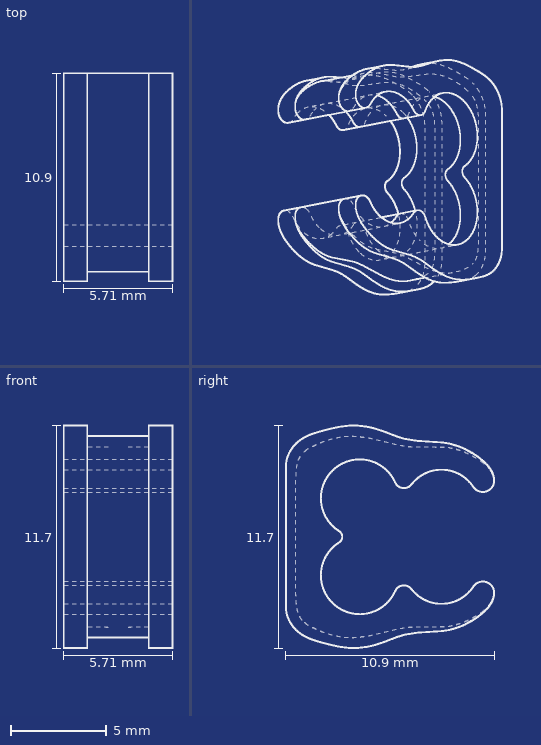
import cadquery as cq
import math


total_width = 5.71
flange_width = 1.25
core_width = total_width - 2 * flange_width

total_depth = 10.92
back_y = -total_depth / 2
front_y = total_depth / 2

inner_bore_radius = 2.03
inner_bore = (back_y + 3.87, 2.02)
outer_bore_radius = 1.98
outer_bore = (back_y + 8.15, 1.53)

tip_radius = 0.6
tip_z = 2.94
tip = (front_y - tip_radius, tip_z)
side_nub_radius = 0.5
back_nub_radius = 0.35

flange_back_inset = 0.0
flange_flat_half_height = 3.72
core_back_inset = 0.5
core_flat_half_height = 2.93

flange_top = [(0.6, 4.95), (2.0, 5.58), (3.6, 5.84), (5.2, 5.5), (6.2, 5.14), (8.5, 4.9), (10.0, 4.24)]
core_top = [(0.8, 4.32), (1.5, 4.81), (3.5, 5.28), (5.4, 4.93), (6.4, 4.73), (8.5, 4.69), (10.0, 4.11)]


def toward(start, target, distance):
    """Point at the given distance from start, in the direction of target."""
    dy = target[0] - start[0]
    dz = target[1] - start[1]
    ratio = distance / math.hypot(dy, dz)
    return (start[0] + dy * ratio, start[1] + dz * ratio)


def side_nub_center():
    """Center of the nub circle touching both bores, on their upper side."""
    to_inner = inner_bore_radius + side_nub_radius
    to_outer = outer_bore_radius + side_nub_radius
    dy = outer_bore[0] - inner_bore[0]
    dz = outer_bore[1] - inner_bore[1]
    span = math.hypot(dy, dz)
    along = (to_inner**2 - to_outer**2 + span**2) / (2 * span)
    across = math.sqrt(to_inner**2 - along**2)
    return (
        inner_bore[0] + (along * dy - across * dz) / span,
        inner_bore[1] + (along * dz + across * dy) / span,
    )


def back_nub_center():
    """Center, on Z = 0, of the nub circle touching the upper and lower inner bores."""
    reach = math.sqrt((inner_bore_radius + back_nub_radius) ** 2 - inner_bore[1] ** 2)
    return (inner_bore[0] - reach, 0)


def clip_profile(start_x, back_inset, flat_half_height, top_points):
    """Closed profile on the plane X = start_x: the upper half, mirrored about Z = 0."""
    wall_y = back_y + back_inset
    top_curve = [(back_y + depth, height) for depth, height in top_points]
    top_curve.append((front_y, tip_z))

    side_nub = side_nub_center()
    back_nub = back_nub_center()
    tip_end = toward(tip, outer_bore, tip_radius)
    tip_bottom = (tip[0], tip[1] - tip_radius)
    outer_bore_top = (outer_bore[0], outer_bore[1] + outer_bore_radius)
    outer_bore_end = toward(side_nub, outer_bore, side_nub_radius)
    side_nub_bottom = (side_nub[0], side_nub[1] - side_nub_radius)
    side_nub_end = toward(side_nub, inner_bore, side_nub_radius)
    inner_bore_back = (inner_bore[0] - inner_bore_radius, inner_bore[1])
    inner_bore_end = toward(back_nub, inner_bore, back_nub_radius)
    back_nub_tip = (back_nub[0] + back_nub_radius, 0)
    half_angle = math.atan2(inner_bore_end[1], inner_bore_end[0] - back_nub[0]) / 2
    back_nub_middle = (
        back_nub[0] + back_nub_radius * math.cos(half_angle),
        back_nub_radius * math.sin(half_angle),
    )

    return (
        cq.Workplane("YZ", origin=(start_x, 0, 0))
        .moveTo(wall_y, 0)
        .lineTo(wall_y, flat_half_height)
        .spline(top_curve, tangents=[(0, 1), (0, -1)], scale=False, includeCurrent=True)
        .threePointArc(tip_bottom, tip_end)
        .threePointArc(outer_bore_top, outer_bore_end)
        .threePointArc(side_nub_bottom, side_nub_end)
        .threePointArc(inner_bore_back, inner_bore_end)
        .threePointArc(back_nub_middle, back_nub_tip)
        .mirrorX()
    )


def make_flange(start_x):
    """End flange with the full outer profile."""
    profile = clip_profile(start_x, flange_back_inset, flange_flat_half_height, flange_top)
    return profile.extrude(flange_width)


def make_core():
    """Middle body, lower than the flanges so that a groove runs around the clip."""
    profile = clip_profile(-core_width / 2, core_back_inset, core_flat_half_height, core_top)
    return profile.extrude(core_width)


flange_starts = [-total_width / 2, core_width / 2]
flanges = [make_flange(start_x) for start_x in flange_starts]
core = make_core()

result = cq.Compound.makeCompound([core.val(), *[flange.val() for flange in flanges]])